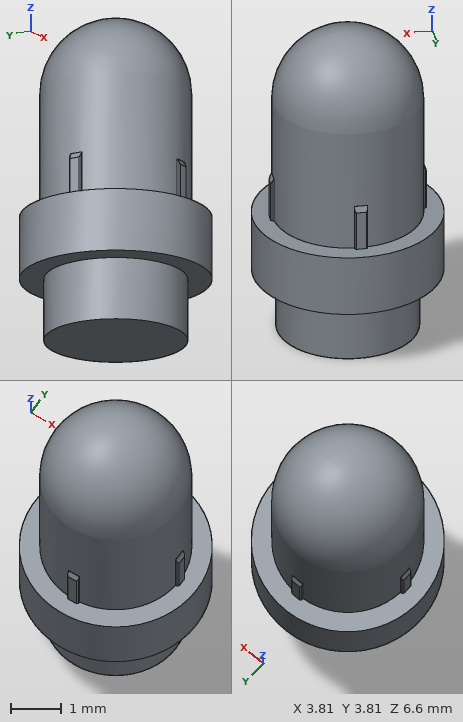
import cadquery as cq

total_height = 6.6
flange_diameter = 3.81
body_diameter = 3.0
base_diameter = 2.845

base_height = 1.27
flange_height = 1.275
flange_top = base_height + flange_height

rib_count = 4
rib_width = 0.26
rib_projection = 0.06
rib_height = 0.94
rib_edge_chamfer = 0.025
rib_top_run = rib_projection
rib_top_drop = 0.12
rib_embed = 0.13

body_radius = body_diameter / 2
dome_start = total_height - body_radius


def make_pin():
    """Base, flange, body and hemispherical dome turned about Z."""
    base_radius = base_diameter / 2
    flange_radius = flange_diameter / 2
    dome_mid = body_radius * 0.5 ** 0.5
    return (
        cq.Workplane("XZ")
        .lineTo(base_radius, 0)
        .lineTo(base_radius, base_height)
        .lineTo(flange_radius, base_height)
        .lineTo(flange_radius, flange_top)
        .lineTo(body_radius, flange_top)
        .lineTo(body_radius, dome_start)
        .threePointArc((dome_mid, dome_start + dome_mid), (0, total_height))
        .close()
        .revolve(360, (0, 0), (0, 1))
    )


def make_rib():
    """Rib on the +X side, rooted in the body, with bevelled outer edges."""
    inner = body_radius - rib_embed
    outer = body_radius + rib_projection
    half_width = rib_width / 2
    half_face = half_width - rib_edge_chamfer
    bar = (
        cq.Workplane("XY", origin=(0, 0, flange_top))
        .polyline([
            (inner, -half_width),
            (outer - rib_edge_chamfer, -half_width),
            (outer, -half_face),
            (outer, half_face),
            (outer - rib_edge_chamfer, half_width),
            (inner, half_width),
        ])
        .close()
        .extrude(rib_height)
    )
    rib_top = flange_top + rib_height
    side_outline = (
        cq.Workplane("XZ")
        .polyline([
            (inner, flange_top),
            (outer, flange_top),
            (outer, rib_top - rib_top_drop),
            (outer - rib_top_run, rib_top),
            (inner, rib_top),
        ])
        .close()
        .extrude(half_width, both=True)
    )
    return bar.intersect(side_outline)


result = make_pin()
rib = make_rib()
for index in range(rib_count):
    angle = index * 360 / rib_count
    result = result.union(rib.rotate((0, 0, 0), (0, 0, 1), angle))